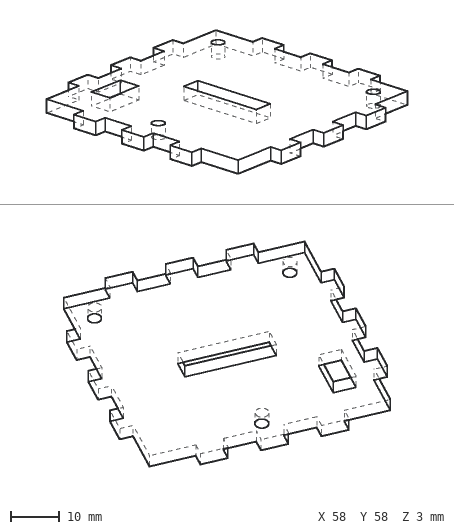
import cadquery as cq

overall = 58.0
thickness = 3.0
tab_depth = 2.9
tab_width = 6.0
tab_pitch = 13.1
body_side = overall - 2 * tab_depth

hole_diameter = 2.85
hole_offset = 21.15
hole_centers = [(-hole_offset, hole_offset), (hole_offset, hole_offset), (0, -hole_offset)]

slot_length = 19.8
slot_width = 4.35
window_width = 4.95
window_height = 8.95
window_center = (-19.45, -12.5)


def make_plate():
    """Square body joined with three tabs on every side."""
    plate = cq.Workplane("XY").rect(body_side, body_side).extrude(thickness)
    for offset in (-tab_pitch, 0, tab_pitch):
        bar_along_x = cq.Workplane("XY").center(0, offset).rect(overall, tab_width).extrude(thickness)
        bar_along_y = cq.Workplane("XY").center(offset, 0).rect(tab_width, overall).extrude(thickness)
        plate = plate.union(bar_along_x).union(bar_along_y)
    return plate.clean()


def make_openings():
    """Cutters for the round holes, the central slot and the side window."""
    holes = cq.Workplane("XY").pushPoints(hole_centers).circle(hole_diameter / 2).extrude(thickness)
    slot = cq.Workplane("XY").rect(slot_length, slot_width).extrude(thickness)
    window = cq.Workplane("XY").center(*window_center).rect(window_width, window_height).extrude(thickness)
    return holes.union(slot).union(window)


result = make_plate().cut(make_openings())